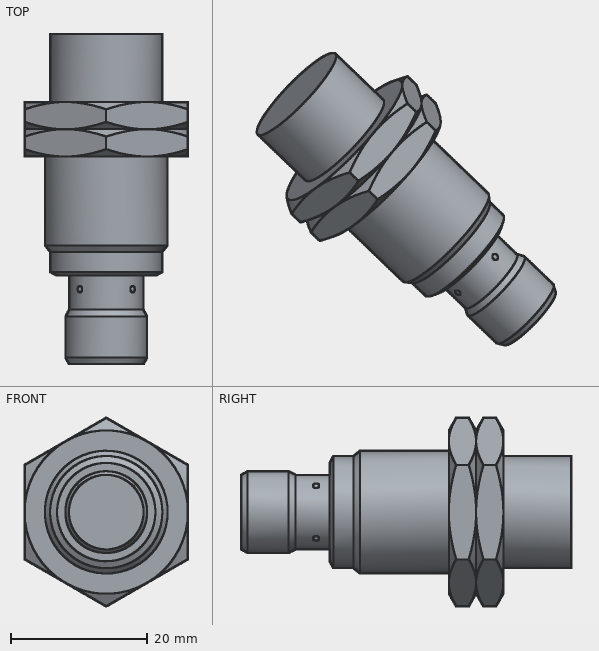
import cadquery as cq
import math

TOTAL_LENGTH = 48.5
SENSING_END_Y = TOTAL_LENGTH / 2

SENSING_RADIUS = 8.25
BARREL_RADIUS = 9.0
COLLAR_RADIUS = SENSING_RADIUS
COLLAR_END_RADIUS = 7.25
NECK_RADIUS = 5.5
PLUG_RADIUS = 6.0
PLUG_END_RADIUS = NECK_RADIUS

NUTS_START = 10.0
BARREL_END = 31.05
COLLAR_START = 32.0
COLLAR_CHAMFER_START = 34.95
COLLAR_END = 35.5
NECK_END = 40.5
PLUG_START = 41.5
PLUG_CHAMFER_START = 47.55

NUT_COUNT = 2
NUT_ACROSS_FLATS = 24.0
NUT_PAIR_THICKNESS = 8.0
NUT_THICKNESS = NUT_PAIR_THICKNESS / NUT_COUNT
NUT_CHAMFER_ANGLE = 30.0

INDICATOR_COUNT = 4
INDICATOR_FIRST_ANGLE = 45.0
INDICATOR_DISTANCE = 37.5
INDICATOR_DIAMETER = 0.9
INDICATOR_HEIGHT = 0.25


def revolve_about_y(points):
    """Revolve (radius, y) points about the Y axis."""
    profile = cq.Workplane("XY").polyline(points).close()
    return profile.revolve(360, (0, 0, 0), (0, 1, 0))


def make_body():
    barrel_start = NUTS_START + NUT_THICKNESS
    outline = [
        (0, 0),
        (SENSING_RADIUS, 0),
        (SENSING_RADIUS, barrel_start),
        (BARREL_RADIUS, barrel_start),
        (BARREL_RADIUS, BARREL_END),
        (COLLAR_RADIUS, COLLAR_START),
        (COLLAR_RADIUS, COLLAR_CHAMFER_START),
        (COLLAR_END_RADIUS, COLLAR_END),
        (NECK_RADIUS, COLLAR_END),
        (NECK_RADIUS, NECK_END),
        (PLUG_RADIUS, PLUG_START),
        (PLUG_RADIUS, PLUG_CHAMFER_START),
        (PLUG_END_RADIUS, TOTAL_LENGTH),
        (0, TOTAL_LENGTH),
    ]
    return revolve_about_y([(radius, SENSING_END_Y - distance) for radius, distance in outline])


def make_nut(start_distance):
    """Hexagon with corners on Z, both faces chamfered by a cone."""
    face_y = SENSING_END_Y - start_distance
    back_y = face_y - NUT_THICKNESS
    face_radius = NUT_ACROSS_FLATS / 2
    corner_radius = face_radius / math.cos(math.radians(30))
    chamfer_depth = (corner_radius - face_radius) * math.tan(math.radians(NUT_CHAMFER_ANGLE))
    hexagon = (
        cq.Workplane("XZ", origin=(0, face_y, 0))
        .transformed(rotate=(0, 0, 90))
        .polygon(6, 2 * corner_radius)
        .extrude(NUT_THICKNESS)
    )
    chamfer_envelope = revolve_about_y([
        (0, face_y),
        (face_radius, face_y),
        (corner_radius, face_y - chamfer_depth),
        (corner_radius, back_y + chamfer_depth),
        (face_radius, back_y),
        (0, back_y),
    ])
    return hexagon.intersect(chamfer_envelope)


def make_indicator(angle):
    """Ball sunk into the neck so that only a low dome stands out."""
    rim_radius = INDICATOR_DIAMETER / 2
    ball_radius = (rim_radius**2 + INDICATOR_HEIGHT**2) / (2 * INDICATOR_HEIGHT)
    ball_height = NECK_RADIUS + INDICATOR_HEIGHT - ball_radius
    ball = cq.Workplane("XY").sphere(ball_radius)
    ball = ball.translate((0, SENSING_END_Y - INDICATOR_DISTANCE, ball_height))
    return ball.rotate((0, 0, 0), (0, 1, 0), angle)


result = make_body()
for nut_index in range(NUT_COUNT):
    result = result.union(make_nut(NUTS_START + nut_index * NUT_THICKNESS))
for indicator_index in range(INDICATOR_COUNT):
    indicator_angle = INDICATOR_FIRST_ANGLE + indicator_index * 360 / INDICATOR_COUNT
    result = result.union(make_indicator(indicator_angle))